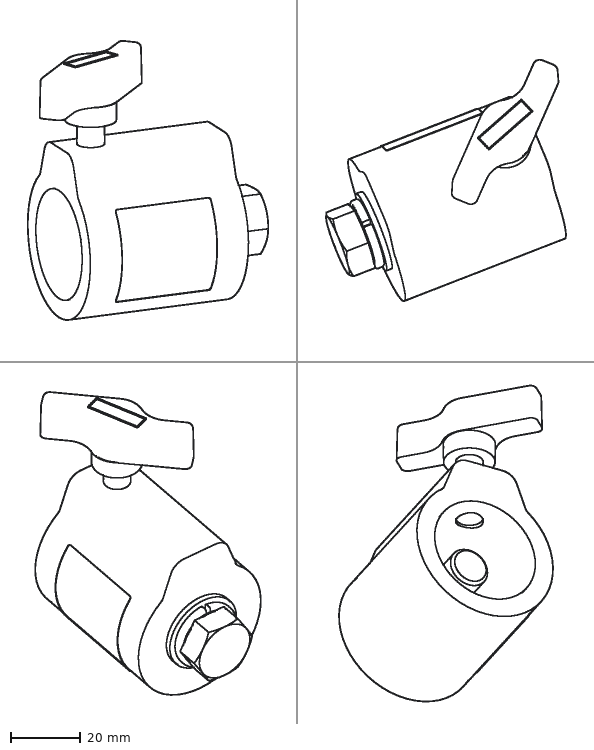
import cadquery as cq
import math


barrel_radius = 22.0
bore_radius = 16.2
housing_length = 50.0
end_wall = 10.0
ridge_top_z = 29.1
ridge_half_width = 9.1
ridge_flank_angle = 70.0
ridge_top_radius = 5.0
ridge_root_radius = 2.0

bolt_radius = 6.0
bolt_tip_y = 9.35
bolt_tip_chamfer = 0.9
head_across_flats = 18.1
head_height = 7.5
head_chamfer_drop = 0.7
bearing_face_height = 0.4

flat_washer_radius = 11.95
flat_washer_thickness = 1.7
spring_washer_radius = 10.5
spring_washer_thickness = 2.5
spring_washer_rounding = 0.8
spring_washer_gap = 1.5

screw_y = 10.0
stud_radius = 4.0
stud_end_clearance = 0.8
boss_bottom_z = 36.2
boss_height = 6.05
boss_radius = 7.4
wing_height = 12.0
wing_half_length = 22.65
arm_width = 7.8
arm_sweep_length = 13.9
wing_corner_radius = 2.0
wing_top_rounding = 1.45
draft_angle = 1.0
wing_turn = -45.0
emblem_length = 17.1
emblem_width = 4.75
emblem_rim = 0.2
emblem_height = 0.3
emblem_turn = -69.5

label_thickness = 0.19
label_half_angle = 39.0
label_front_y = 10.0
label_length = 30.0
label_corner_radius = 0.8

washer_back_y = housing_length + flat_washer_thickness
spring_back_y = washer_back_y + spring_washer_thickness
head_front_y = spring_back_y + bearing_face_height
head_back_y = head_front_y + head_height
wing_bottom_z = boss_bottom_z + boss_height
wing_top_z = wing_bottom_z + wing_height


def y_cylinder(radius, y_start, y_end):
    """Round bar on the bore axis between two Y positions."""
    start_plane = cq.Workplane("XZ", origin=(0, y_start, 0))
    return start_plane.circle(radius).extrude(y_start - y_end)


def z_cylinder(radius, z_start, z_end):
    """Round bar on the screw axis between two Z positions."""
    start_plane = cq.Workplane("XY", origin=(0, screw_y, z_start))
    return start_plane.circle(radius).extrude(z_end - z_start)


def make_housing():
    flank_run = ridge_top_z / math.tan(math.radians(ridge_flank_angle))
    ridge_base = ridge_half_width + flank_run
    ridge = (
        cq.Workplane("XZ")
        .polyline([
            (-ridge_base, 0),
            (ridge_base, 0),
            (ridge_half_width, ridge_top_z),
            (-ridge_half_width, ridge_top_z),
        ])
        .close()
        .extrude(-housing_length)
        .edges("|Y and >Z")
        .fillet(ridge_top_radius)
    )
    body = y_cylinder(barrel_radius, 0, housing_length).union(ridge)

    groove_box = cq.selectors.BoxSelector(
        (-barrel_radius, -0.8, barrel_radius / 2),
        (barrel_radius, housing_length + 0.8, barrel_radius),
    )
    body = body.edges("|Y").edges(groove_box).fillet(ridge_root_radius)

    bore = y_cylinder(bore_radius, 0, housing_length - end_wall)
    bolt_hole = y_cylinder(bolt_radius, 0, housing_length)
    stud_hole = z_cylinder(stud_radius, 0, ridge_top_z)
    return body.cut(bore).cut(bolt_hole).cut(stud_hole)


def make_bolt():
    corner_radius = head_across_flats / math.sqrt(3)
    flat_radius = head_across_flats / 2
    hexagon = (
        cq.Workplane("XZ", origin=(0, head_front_y, 0))
        .polygon(6, 2 * corner_radius)
        .extrude(-head_height)
    )
    blank = (
        cq.Workplane("XY")
        .polyline([
            (0, head_front_y),
            (corner_radius, head_front_y),
            (corner_radius, head_back_y - head_chamfer_drop),
            (flat_radius, head_back_y),
            (0, head_back_y),
        ])
        .close()
        .revolve(360, (0, 0, 0), (0, 1, 0))
    )
    bearing_face = y_cylinder(flat_radius, spring_back_y, head_front_y)
    shank = y_cylinder(bolt_radius, bolt_tip_y, head_front_y).faces("<Y").chamfer(bolt_tip_chamfer)
    return hexagon.intersect(blank).union(bearing_face).union(shank)


def make_flat_washer():
    disc = y_cylinder(flat_washer_radius, housing_length, washer_back_y)
    return disc.cut(y_cylinder(bolt_radius, housing_length, washer_back_y))


def make_spring_washer():
    ring = y_cylinder(spring_washer_radius, washer_back_y, spring_back_y)
    ring = ring.edges().fillet(spring_washer_rounding)
    ring = ring.cut(y_cylinder(bolt_radius, washer_back_y, spring_back_y))
    gap = cq.Workplane("XY").box(
        spring_washer_gap,
        spring_washer_thickness,
        spring_washer_radius,
        centered=(True, False, False),
    )
    return ring.cut(gap.translate((0, washer_back_y, 0)))


def make_wing():
    """Two offset arms joined by S-curves, standing on the boss."""
    half_sweep = math.atan2(arm_width, arm_sweep_length)
    arc_radius = arm_sweep_length / 2 / math.sin(2 * half_sweep)
    arc_mid_x = arc_radius * math.sin(half_sweep)
    arc_mid_drop = arc_radius * (1 - math.cos(half_sweep))
    first_arc_mid = (arc_mid_x, arm_width - arc_mid_drop)
    curve_centre = (arm_sweep_length / 2, arm_width / 2)
    second_arc_mid = (arm_sweep_length - arc_mid_x, arc_mid_drop)

    def opposite(point):
        return (-point[0], -point[1])

    wing_plane = cq.Plane(origin=(0, screw_y, wing_bottom_z))
    outline = (
        cq.Workplane(wing_plane)
        .moveTo(0, arm_width)
        .threePointArc(first_arc_mid, curve_centre)
        .threePointArc(second_arc_mid, (arm_sweep_length, 0))
        .lineTo(wing_half_length, 0)
        .lineTo(wing_half_length, -arm_width)
        .lineTo(0, -arm_width)
        .threePointArc(opposite(first_arc_mid), opposite(curve_centre))
        .threePointArc(opposite(second_arc_mid), (-arm_sweep_length, 0))
        .lineTo(-wing_half_length, 0)
        .lineTo(-wing_half_length, arm_width)
        .close()
    )
    wing = outline.extrude(wing_height, taper=draft_angle)
    for end in ("<X", ">X"):
        wing = wing.faces(end).edges("not #Z").fillet(wing_corner_radius)
    wing = wing.faces(">Z").edges().fillet(wing_top_rounding)
    return wing.rotate((0, screw_y, 0), (0, screw_y, 1), wing_turn)


def make_emblem_rim():
    """Raised rectangular rim on the top of the wing."""
    rim = (
        cq.Workplane("XY", origin=(0, screw_y, wing_top_z))
        .rect(emblem_length, emblem_width)
        .rect(emblem_length - 2 * emblem_rim, emblem_width - 2 * emblem_rim)
        .extrude(emblem_height)
    )
    return rim.rotate((0, screw_y, 0), (0, screw_y, 1), emblem_turn)


def make_wing_screw():
    boss = (
        cq.Workplane("XY", origin=(0, screw_y, boss_bottom_z))
        .circle(boss_radius)
        .extrude(boss_height, taper=-draft_angle)
    )
    stud = z_cylinder(stud_radius, bore_radius + stud_end_clearance, boss_bottom_z)
    return make_wing().union(boss).union(stud).union(make_emblem_rim())


def make_label():
    outer_radius = barrel_radius + label_thickness

    def rim_point(radius, angle):
        return (
            radius * math.cos(math.radians(angle)),
            radius * math.sin(math.radians(angle)),
        )

    return (
        cq.Workplane("XZ", origin=(0, label_front_y, 0))
        .moveTo(*rim_point(barrel_radius, -label_half_angle))
        .threePointArc((barrel_radius, 0), rim_point(barrel_radius, label_half_angle))
        .lineTo(*rim_point(outer_radius, label_half_angle))
        .threePointArc((outer_radius, 0), rim_point(outer_radius, -label_half_angle))
        .close()
        .extrude(-label_length)
        .edges("#Y and (not %CIRCLE)")
        .fillet(label_corner_radius)
    )


housing = make_housing()
bolt = make_bolt()
flat_washer = make_flat_washer()
spring_washer = make_spring_washer()
wing_screw = make_wing_screw()
label = make_label()

result = cq.Compound.makeCompound([
    housing.val(),
    bolt.val(),
    flat_washer.val(),
    spring_washer.val(),
    wing_screw.val(),
    label.val(),
])